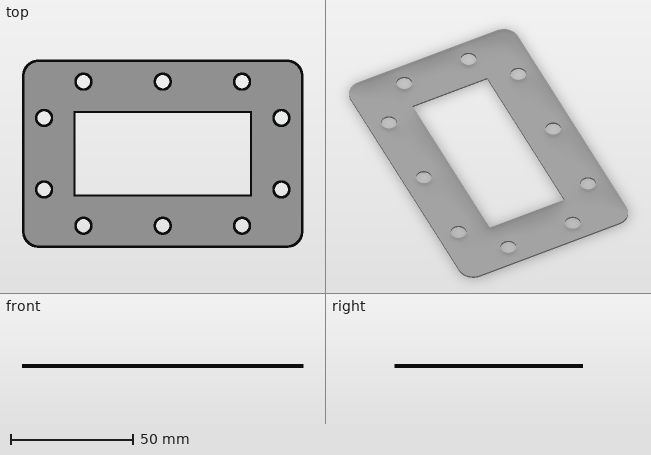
import cadquery as cq

length = 114.3
width = 76.2
thickness = 0.81
corner_radius = 6.4

window_length = 72.1
window_width = 34.1

hole_diameter = 6.4
long_side_pitch = 32.5
long_row_offset = 29.5
short_side_pitch = 29.3
short_row_offset = 48.6


def make_plate():
    plate = cq.Workplane("XY").box(length, width, thickness)
    return plate.edges("|Z").fillet(corner_radius)


def hole_centres():
    centres = []
    for side in (-1, 1):
        for step in (-1, 0, 1):
            centres.append((step * long_side_pitch, side * long_row_offset))
        for step in (-0.5, 0.5):
            centres.append((side * short_row_offset, step * short_side_pitch))
    return centres


def cut_window(plate):
    return plate.faces(">Z").workplane().rect(window_length, window_width).cutThruAll()


def drill_holes(plate):
    return plate.faces(">Z").workplane().pushPoints(hole_centres()).hole(hole_diameter)


result = drill_holes(cut_window(make_plate()))